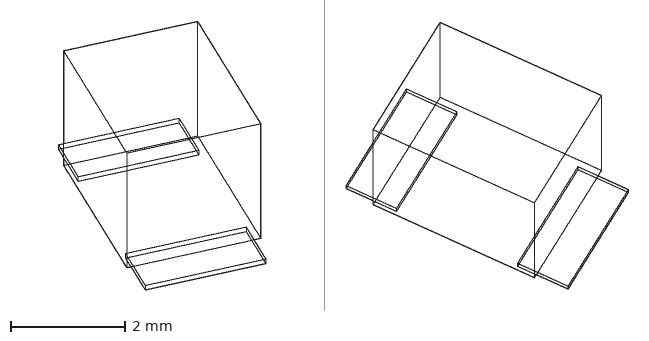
import cadquery as cq

overall_length = 4.4

housing_length = 3.2
housing_width = 2.5
housing_height = 2.5

lead_length = 1.0
lead_width = 2.25
lead_thickness = 0.1
lead_center_x = (overall_length - lead_length) / 2


def make_housing():
    """Plain block that rests on top of the leads."""
    return (
        cq.Workplane("XY", origin=(0, 0, lead_thickness))
        .box(housing_length, housing_width, housing_height, centered=(True, True, False))
    )


def make_lead(side):
    """Flat lead at one end: side is -1 for the -X end, +1 for the +X end."""
    return (
        cq.Workplane("XY", origin=(side * lead_center_x, 0, 0))
        .box(lead_length, lead_width, lead_thickness, centered=(True, True, False))
    )


housing = make_housing()
leads = [make_lead(side) for side in (-1, 1)]

result = cq.Compound.makeCompound([housing.val(), *[lead.val() for lead in leads]])